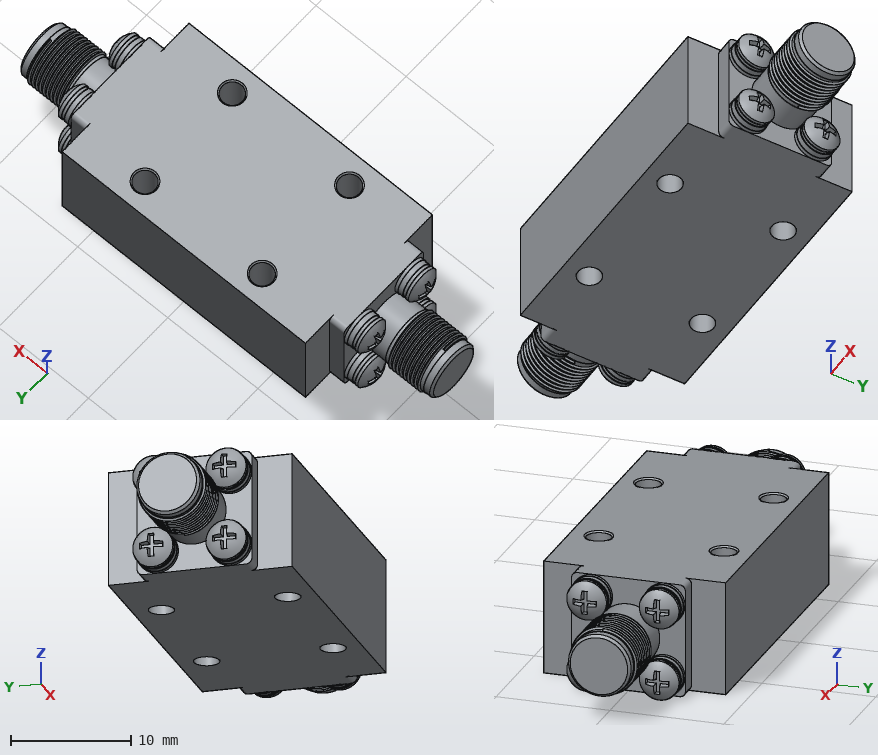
import cadquery as cq
import math

overall_length = 45.8
block_length = 27.0
block_width = 16.0
block_height = 10.0

flange_size = block_height
flange_thickness = 1.65
flange_corner_radius = 0.5
flange_face = block_length / 2 + flange_thickness

hole_diameter = 2.2
hole_chamfer = 0.15
hole_spacing_x = 13.0
hole_spacing_y = 11.0

barrel_radius = 2.75
barrel_length = overall_length / 2 - flange_face
barrel_end_chamfer = 0.25
thread_root_radius = 2.8
thread_crest_radius = 2.98
thread_pitch = 0.405
thread_turns = 9.5
thread_ridge_width = 0.35
thread_crest_width = 0.05
thread_root_overlap = 0.1
band_start = 0.85
band_length = 4.2

screw_spacing = 6.35
washer_radius = 1.8
washer_thickness = 0.3
lock_washer_radius = 1.75
lock_washer_thickness = 0.5
neck_radius = 1.65
neck_height = 0.3
head_radius = 1.75
head_rim_height = 0.3
head_dome_height = 0.8
cross_length = 2.1
cross_width = 0.55
cross_depth = 0.6
cross_taper = 10


def make_housing():
    flanges = (
        cq.Workplane("YZ")
        .rect(flange_size, flange_size)
        .extrude(flange_face, both=True)
        .edges("|X")
        .fillet(flange_corner_radius)
    )
    return cq.Workplane("XY").box(block_length, block_width, block_height).union(flanges)


def cut_mounting_holes(housing):
    return (
        housing.faces(">Z")
        .workplane(origin=(0, 0, 0))
        .rect(hole_spacing_x, hole_spacing_y, forConstruction=True)
        .vertices()
        .cskHole(hole_diameter, hole_diameter + 2 * hole_chamfer, 90)
    )


def make_thread():
    """Right-handed ridge wound on +Z, starting on the +X side at z = 0."""
    helix_radius = thread_root_radius - thread_root_overlap
    path = cq.Wire.makeHelix(thread_pitch, thread_pitch * thread_turns, helix_radius)
    ridge = (
        cq.Workplane("XZ")
        .moveTo(helix_radius, -thread_ridge_width / 2)
        .lineTo(thread_crest_radius, -thread_crest_width / 2)
        .lineTo(thread_crest_radius, thread_crest_width / 2)
        .lineTo(helix_radius, thread_ridge_width / 2)
        .close()
    )
    return ridge.sweep(cq.Workplane(path), isFrenet=True)


def make_connector():
    """Connector on +Z with its free end at z = 0 and its root at z = barrel_length."""
    barrel = (
        cq.Workplane("XY")
        .circle(barrel_radius)
        .extrude(barrel_length)
        .faces("<Z")
        .chamfer(barrel_end_chamfer)
    )
    band = (
        cq.Workplane("XY", origin=(0, 0, band_start))
        .circle(thread_root_radius)
        .extrude(band_length)
    )
    thread_start = band_start + (band_length - thread_pitch * thread_turns) / 2
    thread = make_thread().translate((0, 0, thread_start))
    return barrel.union(band).union(thread)


def make_screw():
    """Screw head and washers standing on z = 0."""
    lock_washer_top = washer_thickness + lock_washer_thickness
    neck_top = lock_washer_top + neck_height
    rim_top = neck_top + head_rim_height
    dome_top = rim_top + head_dome_height
    dome_radius = (head_radius**2 + head_dome_height**2) / (2 * head_dome_height)
    mid_dome_radius = head_radius / 2
    mid_dome_z = dome_top - dome_radius + math.sqrt(dome_radius**2 - mid_dome_radius**2)
    screw = (
        cq.Workplane("XZ")
        .lineTo(washer_radius, 0)
        .lineTo(washer_radius, washer_thickness)
        .lineTo(lock_washer_radius, washer_thickness)
        .lineTo(lock_washer_radius, lock_washer_top)
        .lineTo(neck_radius, lock_washer_top)
        .lineTo(neck_radius, neck_top)
        .lineTo(head_radius, neck_top)
        .lineTo(head_radius, rim_top)
        .threePointArc((mid_dome_radius, mid_dome_z), (0, dome_top))
        .close()
        .revolve(360, (0, 0, 0), (0, 1, 0))
    )
    cross_plane = cq.Workplane("XY", origin=(0, 0, dome_top))
    slot = cross_plane.rect(cross_length, cross_width).extrude(-cross_depth, taper=cross_taper)
    cross_slot = cross_plane.rect(cross_width, cross_length).extrude(-cross_depth, taper=cross_taper)
    return screw.cut(slot).cut(cross_slot)


def make_end_fittings():
    """Connector and four screws on the -X flange."""
    fittings = (
        make_connector()
        .rotate((0, 0, 0), (0, 0, 1), 180)
        .rotate((0, 0, 0), (0, 1, 0), 90)
        .translate((-overall_length / 2, 0, 0))
    )
    screw = make_screw().rotate((0, 0, 0), (0, 1, 0), -90)
    for side_y in (-1, 1):
        for side_z in (-1, 1):
            position = (-flange_face, side_y * screw_spacing / 2, side_z * screw_spacing / 2)
            fittings = fittings.union(screw.translate(position))
    return fittings


left_fittings = make_end_fittings()
right_fittings = left_fittings.rotate((0, 0, 0), (0, 0, 1), 180)
result = cut_mounting_holes(make_housing()).union(left_fittings).union(right_fittings)